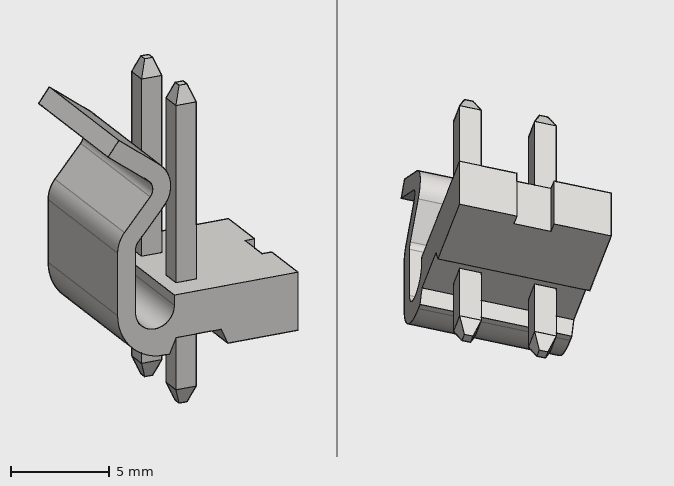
import cadquery as cq
import math


width = 8.03
base_back = 5.62
base_front = -1.38
base_bottom = 3.61
base_top = 6.8

pin_count = 2
pin_pitch = 3.96
pin_width = 1.15
pin_length = 17.45
tip_width = 0.45
tip_length = 0.92

clip_thickness = 1.01
slot_radius = 1.1
heel_radius = 2.63
bend_inner_radius = 0.61
bend_outer_radius = bend_inner_radius + clip_thickness
knee_height = 9.68
lean_angle = 40.5
hook_center_y = -3.21
lip_angle = 37.0
lip_length = 2.86

groove_depth = 0.84
groove_top_width = 2.55
groove_bottom_width = 3.3

notch_width = 1.95
notch_depth = 0.54


def polar(center, radius, angle):
    """Point at an angle in degrees, measured from +Y towards +Z."""
    turn = math.radians(angle)
    return (center[0] + radius * math.cos(turn), center[1] + radius * math.sin(turn))


def make_body():
    slot_center = (base_front - slot_radius, base_bottom + heel_radius)
    clip_inner = base_front - 2 * slot_radius
    clip_outer = clip_inner - clip_thickness
    heel_center = (clip_outer + heel_radius, base_bottom + heel_radius)

    knee_center = (clip_outer + bend_outer_radius, knee_height)
    lean = math.radians(lean_angle)
    center_shift = hook_center_y - knee_center[0]
    center_rise = (bend_outer_radius + bend_inner_radius + center_shift * math.cos(lean)) / math.sin(lean)
    hook_center = (hook_center_y, knee_height + center_rise)

    leg_normal = 180 - lean_angle
    knee_middle = 180 - lean_angle / 2
    lip_normal = 90 - lip_angle
    lip_direction = 180 - lip_angle
    lip_outer = polar(hook_center, bend_outer_radius, lip_normal)
    lip_inner = polar(hook_center, bend_inner_radius, lip_normal)

    profile = (
        cq.Workplane("YZ")
        .moveTo(base_back, base_bottom)
        .lineTo(base_back, base_top)
        .lineTo(base_front, base_top)
        .lineTo(*polar(slot_center, slot_radius, 0))
        .threePointArc(polar(slot_center, slot_radius, -90), polar(slot_center, slot_radius, 180))
        .lineTo(clip_inner, knee_height)
        .threePointArc(
            polar(knee_center, bend_inner_radius, knee_middle),
            polar(knee_center, bend_inner_radius, leg_normal),
        )
        .lineTo(*polar(hook_center, bend_outer_radius, -lean_angle))
        .threePointArc(polar(hook_center, bend_outer_radius, 0), lip_outer)
        .lineTo(*polar(lip_outer, lip_length, lip_direction))
        .lineTo(*polar(lip_inner, lip_length, lip_direction))
        .lineTo(*lip_inner)
        .threePointArc(
            polar(hook_center, bend_inner_radius, 0),
            polar(hook_center, bend_inner_radius, -lean_angle),
        )
        .lineTo(*polar(knee_center, bend_outer_radius, leg_normal))
        .threePointArc(polar(knee_center, bend_outer_radius, knee_middle), (clip_outer, knee_height))
        .lineTo(*polar(heel_center, heel_radius, 180))
        .threePointArc(polar(heel_center, heel_radius, 225), polar(heel_center, heel_radius, 270))
        .close()
    )
    return profile.extrude(width / 2, both=True)


def make_groove():
    groove_top = base_bottom + groove_depth
    return (
        cq.Workplane("YZ")
        .polyline([
            (-groove_bottom_width / 2, base_bottom),
            (groove_bottom_width / 2, base_bottom),
            (groove_top_width / 2, groove_top),
            (-groove_top_width / 2, groove_top),
        ])
        .close()
        .extrude(width / 2, both=True)
    )


def make_notch():
    return (
        cq.Workplane("XY", origin=(0, base_back - notch_depth / 2, base_bottom))
        .rect(notch_width, notch_depth)
        .extrude(base_top - base_bottom)
    )


def make_pin(x):
    shank = (
        cq.Workplane("XY", origin=(x, 0, tip_length))
        .rect(pin_width, pin_width)
        .extrude(pin_length - 2 * tip_length)
    )
    upper_tip = (
        shank.faces(">Z").workplane()
        .rect(pin_width, pin_width)
        .workplane(offset=tip_length)
        .rect(tip_width, tip_width)
        .loft(combine=False)
    )
    lower_tip = upper_tip.mirror("XY", basePointVector=(0, 0, pin_length / 2))
    return shank.union(upper_tip).union(lower_tip)


result = make_body().cut(make_groove()).cut(make_notch())
for index in range(pin_count):
    pin_x = (index - (pin_count - 1) / 2) * pin_pitch
    result = result.union(make_pin(pin_x))